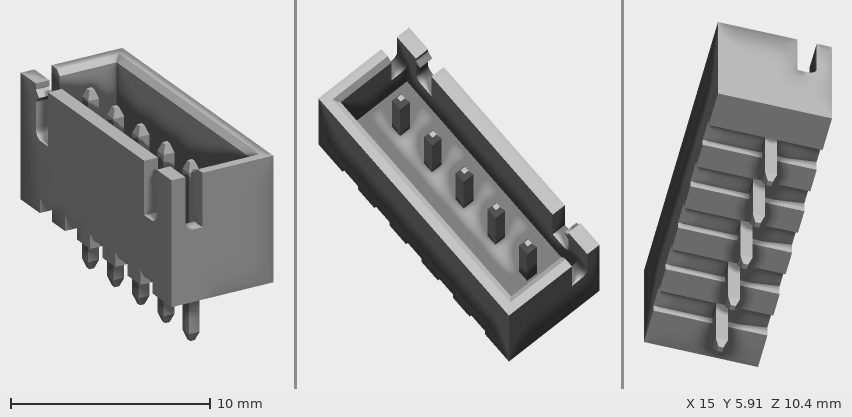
import cadquery as cq


pin_count = 5
housing_width = 15.0
pitch = housing_width / (pin_count + 1)
housing_depth = 5.91
housing_height = 7.0
wall = 0.8
floor_height = 2.0
rim_chamfer = 0.3

slot_depth = 3.0
slot_bottom = housing_height - slot_depth
slot_radius = 0.5
front_slot_offset = 1.5
front_slot_width = 1.23
side_slot_width = 1.0
latch_reach = 0.33
latch_drop = 0.68

notch_width = 1.2
notch_front_height = 0.8
notch_back_height = 0.5
notch_slope_run = 1.5

pin_size = 0.63
pin_tip_size = 0.27
pin_taper_length = 0.5
pin_y = 2.6
pin_tail = 3.39
pin_top_gap = 0.5

half_width = housing_width / 2
pin_positions = [(i - (pin_count - 1) / 2) * pitch for i in range(pin_count)]


def block(x_min, x_max, y_min, y_max, z_min, z_max):
    """Axis-aligned box given by its limits."""
    return cq.Workplane("XY").box(
        x_max - x_min, y_max - y_min, z_max - z_min, centered=False
    ).translate((x_min, y_min, z_min))


def cavity():
    """Open pocket whose mouth is chamfered along the back and side walls only."""
    inner_half = half_width - wall
    inner_back = housing_depth - wall
    chamfer_start = housing_height - rim_chamfer
    pocket = block(-inner_half, inner_half, wall, inner_back, floor_height, housing_height)
    mouth_width = 2 * inner_half
    mouth_depth = 2 * (inner_back - wall)
    flare = (
        cq.Workplane("XY", origin=(0, wall, chamfer_start))
        .rect(mouth_width, mouth_depth)
        .workplane(offset=rim_chamfer)
        .rect(mouth_width + 2 * rim_chamfer, mouth_depth + 2 * rim_chamfer)
        .loft(ruled=True)
    )
    rear_half = block(-half_width, half_width, wall, housing_depth, chamfer_start, housing_height)
    return pocket.union(flare.intersect(rear_half))


def side_slots():
    """Slot through both side walls, just behind the front wall, rounded at its lower front edge."""
    slot = block(-half_width, half_width, wall, wall + side_slot_width, slot_bottom, housing_height)
    return slot.edges("|X and <Y and <Z").fillet(slot_radius)


def front_slot():
    """Left slot through the front wall, with a pointed latch bump on its outer edge."""
    outer_x = front_slot_offset - half_width
    inner_x = outer_x + front_slot_width
    latch_z = housing_height - latch_drop
    slot = block(outer_x, inner_x, 0, wall, slot_bottom, housing_height)
    slot = slot.edges("|Y and <X and <Z").fillet(slot_radius)
    latch = (
        cq.Workplane("XZ")
        .moveTo(outer_x, latch_z - latch_reach)
        .lineTo(outer_x + latch_reach, latch_z)
        .lineTo(outer_x, latch_z + latch_reach)
        .close()
        .extrude(-wall)
    )
    return slot.cut(latch)


def notch(x):
    """Notch along Y under one pin; its ceiling slopes down from the front face, then runs level."""
    profile = (
        cq.Workplane("YZ", origin=(x - notch_width / 2, 0, 0))
        .moveTo(0, 0)
        .lineTo(0, notch_front_height)
        .lineTo(notch_slope_run, notch_back_height)
        .lineTo(housing_depth, notch_back_height)
        .lineTo(housing_depth, 0)
        .close()
    )
    return profile.extrude(notch_width)


def pin(x):
    """Square pin with a tapered tip at both ends."""
    shank_bottom = pin_taper_length - pin_tail
    shank_top = housing_height - pin_top_gap - pin_taper_length
    shank = (
        cq.Workplane("XY", origin=(x, pin_y, shank_bottom))
        .rect(pin_size, pin_size)
        .extrude(shank_top - shank_bottom)
    )
    for face, direction in ((shank_bottom, -1), (shank_top, 1)):
        tip = (
            cq.Workplane("XY", origin=(x, pin_y, face))
            .rect(pin_size, pin_size)
            .workplane(offset=direction * pin_taper_length)
            .rect(pin_tip_size, pin_tip_size)
            .loft(ruled=True)
        )
        shank = shank.union(tip)
    return shank


housing = block(-half_width, half_width, 0, housing_depth, 0, housing_height)
housing = housing.cut(cavity()).cut(side_slots())
left_slot = front_slot()
housing = housing.cut(left_slot).cut(left_slot.mirror("YZ"))
for pin_x in pin_positions:
    housing = housing.cut(notch(pin_x))

result = housing
for pin_x in pin_positions:
    result = result.union(pin(pin_x))